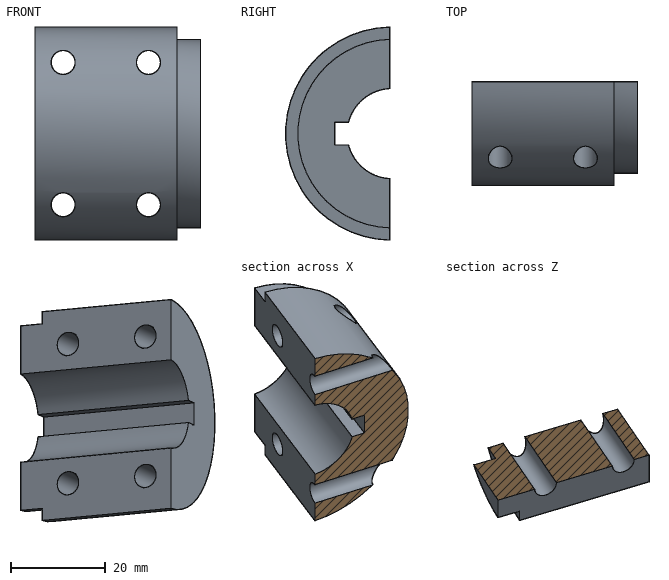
import cadquery as cq

body_radius = 22.5
body_length = 30.0
step_radius = 19.9
step_length = 5.0
bore_radius = 9.5
split_gap = 0.5

keyway_width = 4.75
keyway_floor = 12.05

bolt_hole_diameter = 5.0
bolt_end_distance = 6.0
bolt_spacing_x = 18.0
bolt_spacing_z = 30.0

total_length = body_length + step_length


def full_cylinder(radius, length):
    """Cylinder along +X starting at the X = 0 end face."""
    return cq.Workplane("YZ").circle(radius).extrude(length)


sleeve = full_cylinder(body_radius, body_length)
sleeve = sleeve.union(full_cylinder(step_radius, total_length))
sleeve = sleeve.cut(full_cylinder(bore_radius, total_length))

kept_side = cq.Workplane("XY").box(
    total_length, body_radius - split_gap, 2 * body_radius, centered=(False, False, True)
).translate((0, -body_radius, 0))
half = sleeve.intersect(kept_side)

keyway = cq.Workplane("XY").box(
    total_length, keyway_floor, keyway_width, centered=(False, False, True)
).translate((0, -keyway_floor, 0))
half = half.cut(keyway)

bolt_holes = (
    cq.Workplane("XZ")
    .center(bolt_end_distance + bolt_spacing_x / 2, 0)
    .rarray(bolt_spacing_x, bolt_spacing_z, 2, 2)
    .circle(bolt_hole_diameter / 2)
    .extrude(body_radius)
)
result = half.cut(bolt_holes)